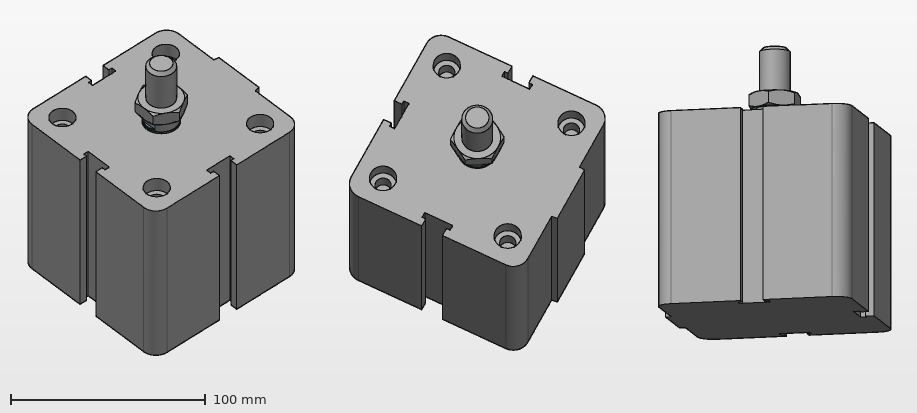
import cadquery as cq
import math

side = 102.0
housing_height = 101.0
corner_radius = 8.5

rail_height = 3.1
rail_base_width = 31.6
rail_outer_width = 30.7

slot_mouth_width = 12.0
slot_inner_width = 16.1
slot_lip = 4.5
slot_depth = 7.5

hole_spacing = 71.9
counterbore_diameter = 14.0
counterbore_depth = 8.5
hole_diameter = 8.3
hole_depth = 16.5

total_height = 141.0
collar_diameter = 20.0
collar_height = 1.0
neck_diameter = 19.5
neck_top = 8.2
flats_width = 17.0
flats_bottom = 2.0
stud_diameter = 16.0
stud_chamfer = 2.0

nut_width = 24.0
nut_height = 7.9
nut_chamfer_angle = 30.0

half_side = side / 2
neck_height = neck_top - collar_height
stud_length = total_height - housing_height - neck_top
nut_bottom = housing_height + neck_top


def make_rail():
    half_base = rail_base_width / 2
    half_outer = rail_outer_width / 2
    outer_y = half_side + rail_height
    return (
        cq.Workplane("XY")
        .moveTo(-half_base, 0)
        .lineTo(half_base, 0)
        .lineTo(half_base, half_side)
        .lineTo(half_outer, outer_y)
        .lineTo(-half_outer, outer_y)
        .lineTo(-half_base, half_side)
        .close()
        .extrude(housing_height)
    )


def make_slot(turn):
    """T-slot in the -Y side, turned about Z by the given angle."""
    mouth_y = -half_side + slot_depth / 2
    inner_depth = slot_depth - slot_lip
    inner_y = -half_side + slot_lip + inner_depth / 2
    mouth = (
        cq.Workplane("XY")
        .center(0, mouth_y)
        .rect(slot_mouth_width, slot_depth)
        .extrude(housing_height)
    )
    inner = (
        cq.Workplane("XY")
        .center(0, inner_y)
        .rect(slot_inner_width, inner_depth)
        .extrude(housing_height)
    )
    return mouth.union(inner).rotate((0, 0, 0), (0, 0, 1), turn)


def make_housing():
    block = (
        cq.Workplane("XY")
        .rect(side, side)
        .extrude(housing_height)
        .edges("|Z")
        .fillet(corner_radius)
    )
    block = block.union(make_rail())
    for turn in (-90, 0, 90):
        block = block.cut(make_slot(turn))
    return (
        block.faces(">Z")
        .workplane(origin=(0, 0, housing_height))
        .rect(hole_spacing, hole_spacing, forConstruction=True)
        .vertices()
        .cboreHole(hole_diameter, counterbore_diameter, counterbore_depth, hole_depth)
    )


def make_rod():
    collar = (
        cq.Workplane("XY", origin=(0, 0, housing_height))
        .circle(collar_diameter / 2)
        .extrude(collar_height)
    )
    neck = collar.faces(">Z").workplane().circle(neck_diameter / 2).extrude(neck_height)
    flats_height = neck_top - flats_bottom
    for direction in (-1, 1):
        beyond_flat = (
            cq.Workplane("XY", origin=(0, 0, housing_height + flats_bottom))
            .center(0, direction * (flats_width + neck_diameter) / 2)
            .rect(neck_diameter, neck_diameter)
            .extrude(flats_height)
        )
        neck = neck.cut(beyond_flat)
    stud = (
        cq.Workplane("XY", origin=(0, 0, nut_bottom))
        .circle(stud_diameter / 2)
        .extrude(stud_length)
        .faces(">Z")
        .chamfer(stud_chamfer)
    )
    return neck.union(stud)


def make_nut():
    """Hexagon nut with conical chamfers on the corners of both ends."""
    hexagon_diameter = nut_width / math.cos(math.pi / 6)
    hexagon_radius = hexagon_diameter / 2
    end_radius = nut_width / 2
    chamfer_height = (hexagon_radius - end_radius) * math.tan(math.radians(nut_chamfer_angle))
    hexagon = cq.Workplane("XY").polygon(6, hexagon_diameter).extrude(nut_height)
    chamfer_envelope = (
        cq.Workplane("XZ")
        .moveTo(0, 0)
        .lineTo(end_radius, 0)
        .lineTo(hexagon_radius, chamfer_height)
        .lineTo(hexagon_radius, nut_height - chamfer_height)
        .lineTo(end_radius, nut_height)
        .lineTo(0, nut_height)
        .close()
        .revolve(360, (0, 0, 0), (0, 1, 0))
    )
    bore = cq.Workplane("XY").circle(stud_diameter / 2).extrude(nut_height)
    return hexagon.intersect(chamfer_envelope).cut(bore).translate((0, 0, nut_bottom))


housing = make_housing()
rod = make_rod()
nut = make_nut()

result = cq.Compound.makeCompound([housing.val(), rod.val(), nut.val()])